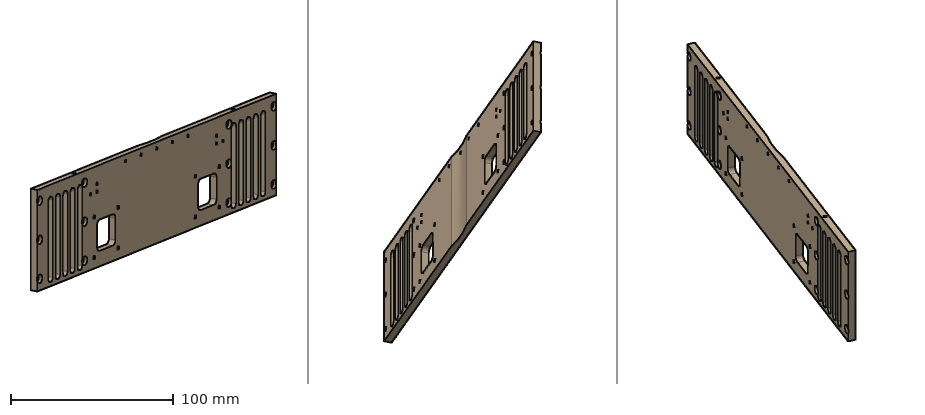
import cadquery as cq

THICKNESS = 5.0
LENGTH = 260.0
HEIGHT = 65.0

RECESS_WIDTH = 26.0
RECESS_DEPTH = 1.15

SLOT_COUNT = 5
SLOT_PITCH = 8.0
SLOT_WIDTH = 5.0
SLOT_LENGTH = 54.5
SLOT_GROUP_Y = 99.6
SLOT_CENTER_Z = -2.5
SLOT_ANGLE = 90.0

FIXING_DIAMETER = 2.6
FIXING_HEAD_DIAMETER = 5.6
FIXING_HEAD_ANGLE = 90.0
FIXING_OUTER_Y = 127.5
FIXING_INNER_Y = 78.5
FIXING_PITCH_Z = 25.0
FIXING_ROWS = (-1, 0, 1)

WINDOW_Y = 55.0
WINDOW_Z = -12.5
WINDOW_SIZE = 20.0
WINDOW_CORNER_RADIUS = 3.0
WINDOW_SCREW_PITCH = 26.0
WINDOW_SCREW_DIAMETER = 2.08

SMALL_DIAMETER = 1.62
ROW_COUNT = 5
ROW_PITCH = 17.0
ROW_Z = 28.3
TRIO_INNER_Y = 65.0
TRIO_OUTER_Y = 72.0
TRIO_LOWER_Z = 16.0
TRIO_UPPER_Z = 21.0

EDGE_HOLE_Y = 86.6
EDGE_HOLE_DIAMETER = 2.08
EDGE_HOLE_DEPTH = 6.0

SIDES = (-1, 1)


def face_plane():
    """Sketch plane at X = 0: local x is Y, local y is Z, normal is +X."""
    return cq.Workplane("YZ")


def make_plate():
    half_length = LENGTH / 2
    half_recess = RECESS_WIDTH / 2
    profile = (
        cq.Workplane("XY")
        .workplane(offset=-HEIGHT / 2)
        .moveTo(0, -half_length)
        .lineTo(THICKNESS, -half_length)
        .lineTo(THICKNESS, half_length)
        .lineTo(0, half_length)
        .lineTo(0, half_recess)
        .threePointArc((RECESS_DEPTH, 0), (0, -half_recess))
        .close()
    )
    return profile.extrude(HEIGHT)


def make_through_holes(points, diameter):
    return face_plane().pushPoints(points).circle(diameter / 2).extrude(THICKNESS)


def make_slots():
    first = -(SLOT_COUNT - 1) / 2 * SLOT_PITCH
    points = [
        (side * SLOT_GROUP_Y + first + index * SLOT_PITCH, SLOT_CENTER_Z)
        for side in SIDES
        for index in range(SLOT_COUNT)
    ]
    return face_plane().pushPoints(points).slot2D(SLOT_LENGTH, SLOT_WIDTH, SLOT_ANGLE).extrude(THICKNESS)


def cut_fixing_holes(plate):
    """Fixing holes, countersunk from the back face."""
    points = [
        (side * y, row * FIXING_PITCH_Z)
        for side in SIDES
        for y in (FIXING_OUTER_Y, FIXING_INNER_Y)
        for row in FIXING_ROWS
    ]
    return (
        plate.faces(">X")
        .workplane(origin=(0, 0, 0))
        .pushPoints(points)
        .cskHole(FIXING_DIAMETER, FIXING_HEAD_DIAMETER, FIXING_HEAD_ANGLE)
    )


def make_windows():
    points = [(side * WINDOW_Y, WINDOW_Z) for side in SIDES]
    windows = face_plane().pushPoints(points).rect(WINDOW_SIZE, WINDOW_SIZE).extrude(THICKNESS)
    return windows.edges("|X").fillet(WINDOW_CORNER_RADIUS)


def make_window_screw_holes():
    offset = WINDOW_SCREW_PITCH / 2
    points = [
        (side * WINDOW_Y + dy, WINDOW_Z + dz)
        for side in SIDES
        for dy in (-offset, offset)
        for dz in (-offset, offset)
    ]
    return make_through_holes(points, WINDOW_SCREW_DIAMETER)


def make_row_holes():
    first = -(ROW_COUNT - 1) / 2 * ROW_PITCH
    points = [(first + index * ROW_PITCH, ROW_Z) for index in range(ROW_COUNT)]
    return make_through_holes(points, SMALL_DIAMETER)


def make_trio_holes():
    trio = (
        (TRIO_INNER_Y, TRIO_UPPER_Z),
        (TRIO_INNER_Y, TRIO_LOWER_Z),
        (TRIO_OUTER_Y, TRIO_LOWER_Z),
    )
    points = [(side * y, z) for side in SIDES for y, z in trio]
    return make_through_holes(points, SMALL_DIAMETER)


def make_edge_holes():
    points = [(THICKNESS / 2, side * EDGE_HOLE_Y) for side in SIDES]
    return (
        cq.Workplane("XY")
        .workplane(offset=HEIGHT / 2 - EDGE_HOLE_DEPTH)
        .pushPoints(points)
        .circle(EDGE_HOLE_DIAMETER / 2)
        .extrude(EDGE_HOLE_DEPTH)
    )


result = cut_fixing_holes(make_plate())
result = result.cut(make_slots())
result = result.cut(make_windows())
result = result.cut(make_window_screw_holes())
result = result.cut(make_row_holes())
result = result.cut(make_trio_holes())
result = result.cut(make_edge_holes())